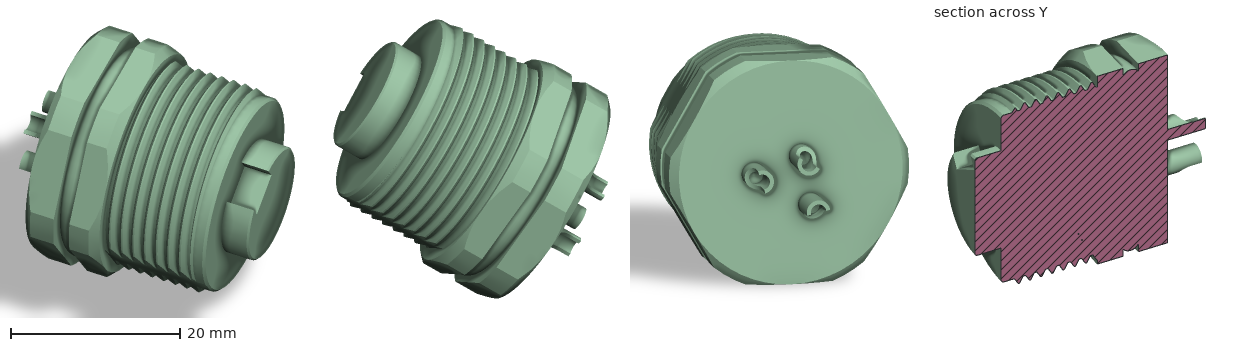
import cadquery as cq
import math


flange_start = 5.08
flange_length = 4.0
ring_gap = 2.0
nut_length = 3.5
body_end = 27.48
total_length = 30.95
flange_end = flange_start + flange_length
nut_start = flange_end + ring_gap
nut_end = nut_start + nut_length

across_flats = 27.0
across_corners = 28.97
hex_chamfer = (across_corners - across_flats) / 2

ring_radius = 13.0
ring_section_radius = 1.25

core_radius = 12.0
core_chamfer = 0.3
thread_radius = 12.88
helix_length = 15.0
helix_turns = 10
thread_pitch = helix_length / helix_turns
helix_start = 11.92
thread_end = 26.0
thread_end_taper = 0.68
thread_crest_width = 0.2
thread_flank_angle = 30
thread_overlap = 0.12
flat_distance = 11.92
flat_angles = (30, 210)

nose_radius = 7.03
nose_chamfer = 0.22
key_width = 5.0
key_floor = 4.58
key_angle = 120

pin_radius = 1.42
pins = (
    (-1.18, 2.0, 120),
    (4.52, 0.03, -18),
    (-2.3, -3.87, 258),
)
cup_bore_radius = 0.93
cup_bore_depth = 4.02
cup_tip_angle = 90
cup_cut_length = 1.55
cup_cut_offset = 0.05
cup_cut_radius = 1.83

origin = (0, 0, 0)
x_axis = (1, 0, 0)


def cylinder(radius, start, end):
    return cq.Workplane("YZ", origin=(start, 0, 0)).circle(radius).extrude(end - start)


def turned(points):
    """Revolve an (X, radius) outline about the X axis."""
    return cq.Workplane("XY").polyline(points).close().revolve(360, origin, x_axis)


def hexagon(start, end, chamfer_at_start):
    """Hexagonal disc with two flats facing +-Z and its corners turned round."""
    corner_radius = across_corners / 2
    prism = (
        cq.Workplane("YZ", origin=(start, 0, 0))
        .polygon(6, across_flats / math.cos(math.pi / 6))
        .extrude(end - start)
    )
    side = "<X" if chamfer_at_start else ">X"
    blank = cylinder(corner_radius, start, end).faces(side).chamfer(hex_chamfer)
    return prism.intersect(blank)


def sealing_ring():
    middle = (flange_end + nut_start) / 2
    tube_path_radius = ring_radius - ring_section_radius
    ring = (
        cq.Workplane("XY", origin=(middle, tube_path_radius, 0))
        .circle(ring_section_radius)
        .revolve(360, (0, -tube_path_radius), (1, -tube_path_radius))
    )
    return ring.intersect(cylinder(across_flats / 2, flange_end, nut_start))


def cut_flats(body):
    """Cut the two opposite flats along the threaded body."""
    for angle in flat_angles:
        waste = (
            cq.Workplane("XY")
            .box(body_end, across_flats, across_flats, centered=(False, False, True))
            .translate((nut_start, flat_distance, 0))
            .rotate(origin, x_axis, angle)
        )
        body = body.cut(waste)
    return body


def thread_ridge():
    """Right-hand V ridge, cut by the flats and tapered off at the front end of the thread."""
    base_radius = core_radius - thread_overlap
    crest = thread_crest_width / 2
    base = crest + (thread_radius - base_radius) * math.tan(math.radians(thread_flank_angle))
    helix = cq.Wire.makeHelix(thread_pitch, helix_length, base_radius)
    ridge = (
        cq.Workplane("XZ")
        .polyline([(base_radius, -base), (thread_radius, -crest), (thread_radius, crest), (base_radius, base)])
        .close()
        .sweep(cq.Workplane(helix), isFrenet=True)
    )
    ridge = ridge.rotate(origin, (1, 1, 1), 120).translate((helix_start, 0, 0))

    slope = thread_end_taper / (thread_radius - core_radius)
    clearance = 0.3
    envelope = turned([
        (nut_start + clearance, 0),
        (nut_start + clearance, thread_radius + clearance),
        (thread_end - thread_end_taper - clearance * slope, thread_radius + clearance),
        (thread_end + clearance * slope, core_radius - clearance),
        (thread_end + clearance * slope, 0),
    ])
    return ridge.intersect(cut_flats(envelope))


def threaded_body():
    core = cylinder(core_radius, flange_end, body_end).faces(">X").chamfer(core_chamfer)
    return cut_flats(core).union(thread_ridge())


def nose():
    keyway = (
        cq.Workplane("XY")
        .box(total_length, nose_radius, key_width, centered=(False, False, True))
        .translate((body_end, key_floor, 0))
        .rotate(origin, x_axis, key_angle)
    )
    plug = cylinder(nose_radius, nut_end, total_length).faces(">X").chamfer(nose_chamfer)
    return plug.cut(keyway)


def solder_pin(y, z, open_angle):
    """Pin along X with a bored cup whose +Y half is cut away, then turned and placed."""
    tip_depth = cup_bore_radius / math.tan(math.radians(cup_tip_angle / 2))
    bore = turned([
        (0, 0),
        (0, cup_bore_radius),
        (cup_bore_depth, cup_bore_radius),
        (cup_bore_depth + tip_depth, 0),
    ])
    run_out = cup_cut_radius * math.sqrt(0.5)
    opening = (
        cq.Workplane("XY", origin=(0, 0, -pin_radius))
        .moveTo(0, cup_cut_offset)
        .lineTo(cup_cut_length, cup_cut_offset)
        .threePointArc(
            (cup_cut_length + run_out, cup_cut_offset + cup_cut_radius - run_out),
            (cup_cut_length + cup_cut_radius, cup_cut_offset + cup_cut_radius),
        )
        .lineTo(0, cup_cut_offset + cup_cut_radius)
        .close()
        .extrude(2 * pin_radius)
    )
    pin = cylinder(pin_radius, 0, flange_end).cut(opening).cut(bore)
    return pin.rotate(origin, x_axis, open_angle).translate((0, y, z))


result = threaded_body()
result = result.union(hexagon(flange_start, flange_end, chamfer_at_start=True))
result = result.union(hexagon(nut_start, nut_end, chamfer_at_start=False))
result = result.union(sealing_ring())
result = result.union(nose())
for pin_y, pin_z, pin_open_angle in pins:
    result = result.union(solder_pin(pin_y, pin_z, pin_open_angle))